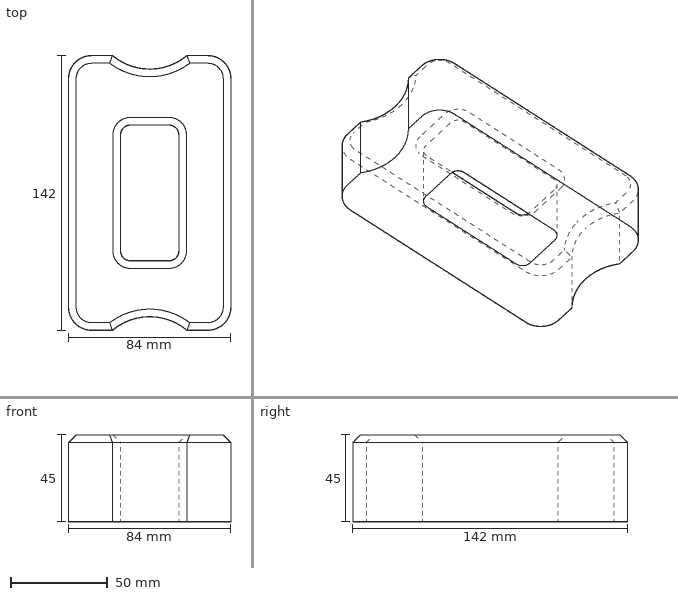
import cadquery as cq

width = 84.0
length = 142.0
height = 45.0
corner_radius = 12.0

scallop_radius = 30.0
scallop_depth = 7.0

window_width = 30.0
window_length = 70.0
window_corner_radius = 5.0

top_chamfer = 4.0


def rounded_prism(size_x, size_y, radius):
    """Full-height rectangular prism with rounded vertical edges, standing on Z = 0."""
    prism = cq.Workplane("XY").rect(size_x, size_y).extrude(height)
    return prism.edges("|Z").fillet(radius)


def end_scallop(side):
    """Vertical cylinder that cuts the end at side * length / 2."""
    center_y = side * (length / 2 + scallop_radius - scallop_depth)
    return cq.Workplane("XY").center(0, center_y).circle(scallop_radius).extrude(height)


def block_body():
    body = rounded_prism(width, length, corner_radius)
    for side in (-1, 1):
        body = body.cut(end_scallop(side))
    window = rounded_prism(window_width, window_length, window_corner_radius)
    return body.cut(window)


result = block_body().faces(">Z").edges().chamfer(top_chamfer)